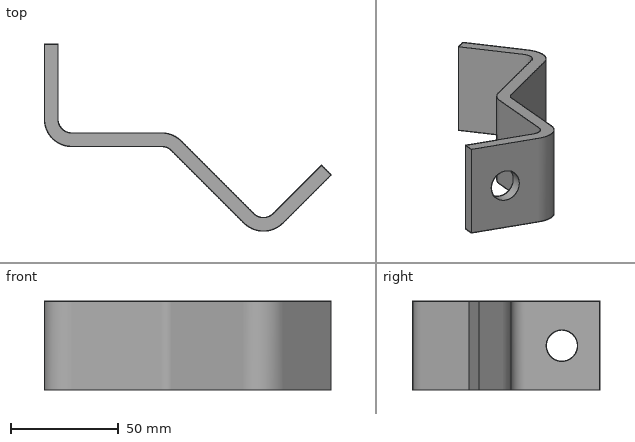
import cadquery as cq
import math

length = 133.0
depth = 86.7
height = 41.2
thickness = 6.4
inner_radius = 6.4
outer_radius = inner_radius + thickness
seat_y = 39.2
seat_corner_x = 57.1
hole_diameter = 14.4
hole_from_end = 17.5

tip_y = -outer_radius * (math.sqrt(2) - 1)
tip_x = seat_corner_x + seat_y - tip_y
arm_end_y = tip_y + length - tip_x

corner_shift = thickness * math.tan(math.radians(45 / 2))
diagonal_shift = thickness / math.sqrt(2)
tip_shift = thickness * math.sqrt(2)

lower_corners = [
    (0, seat_y),
    (seat_corner_x, seat_y),
    (tip_x, tip_y),
]
upper_corners = [
    (thickness, seat_y + thickness),
    (seat_corner_x + corner_shift, seat_y + thickness),
    (tip_x, tip_y + tip_shift),
]
lower_radii = [outer_radius, inner_radius, outer_radius]
upper_radii = [inner_radius, outer_radius, inner_radius]


def round_corner(body, corner, radius):
    """Round the upright edge standing at the given XY corner."""
    edge = cq.selectors.NearestToPointSelector((*corner, height / 2))
    return body.edges("|Z").edges(edge).fillet(radius)


flange_end = [(thickness, depth), (0, depth)]
arm_end = [
    (length, arm_end_y),
    (length - diagonal_shift, arm_end_y + diagonal_shift),
]
outline = flange_end + lower_corners + arm_end + upper_corners[::-1]
strip = cq.Workplane("XY").polyline(outline).close().extrude(height)

for bend_corner, bend_radius in zip(lower_corners + upper_corners, lower_radii + upper_radii):
    strip = round_corner(strip, bend_corner, bend_radius)

bolt_hole = (
    cq.Workplane("YZ")
    .center(depth - hole_from_end, height / 2)
    .circle(hole_diameter / 2)
    .extrude(thickness)
)

result = strip.cut(bolt_hole)